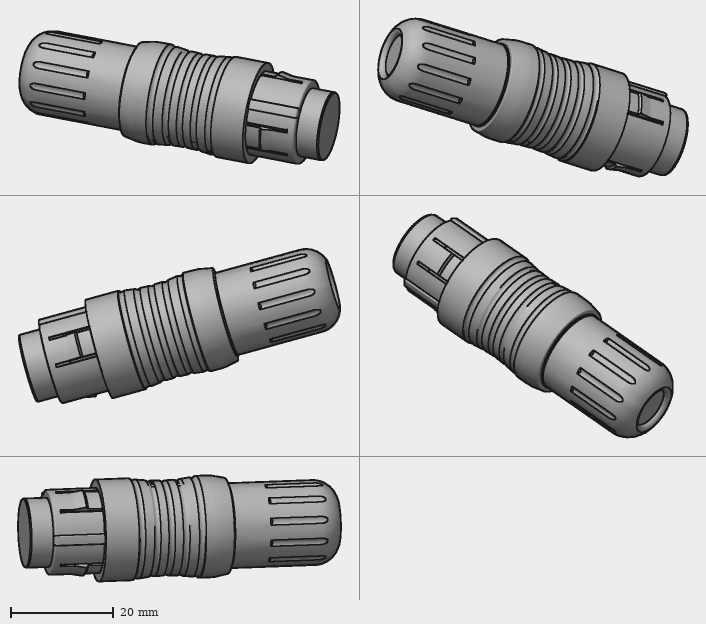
import cadquery as cq
import math

dome_length = 4.53
backshell_end = 21.9
crown_end = 25.77
sleeve_end = 47.53
plug_end = 57.42
total_length = 62.0

backshell_radius = 8.33
collar_radius = 8.45
grip_radius = 20.0 / 2
grip_front_radius = 9.4
plug_radius = 8.35
nose_radius = 13.6 / 2

mouth_rim_radius = 5.17
mouth_radius = 4.09
mouth_lip = mouth_rim_radius - mouth_radius
collar_length = 0.35

waist_center = 34.28
waist_radius = 9.33
waist_half_length = 6.2
waist_edge_radius = 9.87
groove_offsets = (-5.9, -2.83, 0.0, 2.83, 5.9)
groove_wire_radius = 1.49 / 2
groove_depth = 0.22

slot_count = 12
slot_width = 1.45
slot_depth = 0.21
slot_end = 14.47
slot_end_run = 0.4

latch_count = 3
latch_first_angle = 180.0
finger_width = 5.04
latch_slot_width = 0.56
latch_slot_depth = 0.5
latch_slot_shallow_depth = 0.35
latch_slot_step = 53.1
latch_slot_end = 55.88
barb_start = 50.35
barb_crest = 50.75
barb_end = 52.95
barb_radius = 8.78
key_angles = (0.0, 133.5)
key_width = 2.0
key_radius = 8.8
key_fillet = 0.25

plug_fillet = 0.35
groove_chamfer = 0.1
grip_front_fillet = 0.2
nose_chamfer = 0.3
nose_chamfer_drop = 0.12


def revolve_about_axis(profile):
    """Revolve a closed (x, radius) profile about the X axis."""
    return profile.revolve(360, (0, 0, 0), (1, 0, 0))


def around_axis(body, angle):
    """Turn a body built at +Y about the X axis; +90 degrees brings it to +Z."""
    return body.rotate((0, 0, 0), (1, 0, 0), angle)


def cylinder(start, end, radius):
    """Solid cylinder on the X axis between two stations."""
    return cq.Workplane("YZ").workplane(offset=start).circle(radius).extrude(end - start)


def crown_mid_point(start, end):
    """Middle of an arc that rises from start and is level (parallel to X) at end."""
    run = end[0] - start[0]
    rise = end[1] - start[1]
    radius = (run**2 + rise**2) / (2 * rise)
    half_sweep = math.asin(run / radius) / 2
    return (
        end[0] - radius * math.sin(half_sweep),
        end[1] - radius * (1 - math.cos(half_sweep)),
    )


def backshell():
    """Domed cable end with a rounded mouth, finger slots and a thin collar."""
    rim = (0, mouth_rim_radius)
    dome_top = (dome_length, backshell_radius)
    lip_mid = (
        mouth_lip * (1 - math.sin(math.pi / 4)),
        mouth_rim_radius - mouth_lip * math.cos(math.pi / 4),
    )
    collar_start = backshell_end - collar_length
    profile = (
        cq.Workplane("XY")
        .moveTo(mouth_lip, 0)
        .lineTo(mouth_lip, mouth_radius)
        .threePointArc(lip_mid, rim)
        .threePointArc(crown_mid_point(rim, dome_top), dome_top)
        .lineTo(collar_start, backshell_radius)
        .lineTo(collar_start, collar_radius)
        .lineTo(backshell_end, collar_radius)
        .lineTo(backshell_end, 0)
        .close()
    )
    body = revolve_about_axis(profile)
    for index in range(slot_count):
        body = body.cut(around_axis(finger_slot(), (index + 0.5) * 360 / slot_count))
    return body


def finger_slot():
    """Shallow round-bottomed slot at +Y, with a sloped end wall."""
    wire_radius = (slot_width**2 / 4 + slot_depth**2) / (2 * slot_depth)
    axis_height = backshell_radius - slot_depth + wire_radius
    bar = cq.Workplane("YZ").center(axis_height, 0).circle(wire_radius).extrude(slot_end)
    floor = backshell_radius - slot_depth
    top = axis_height + wire_radius
    limit = (
        cq.Workplane("XY")
        .polyline([
            (0, floor),
            (slot_end - slot_end_run, floor),
            (slot_end, backshell_radius),
            (slot_end, top),
            (0, top),
        ])
        .close()
        .extrude(slot_width, both=True)
    )
    return bar.intersect(limit)


def grip():
    """Coupling sleeve: domed front, grooved waist, plain rear."""
    front = (backshell_end, grip_front_radius)
    crown = (crown_end, grip_radius)
    waist_start = waist_center - waist_half_length
    waist_end = waist_center + waist_half_length
    profile = (
        cq.Workplane("XY")
        .moveTo(backshell_end, 0)
        .lineTo(*front)
        .threePointArc(crown_mid_point(front, crown), crown)
        .lineTo(waist_start, grip_radius)
        .lineTo(waist_start, waist_edge_radius)
        .threePointArc((waist_center, waist_radius), (waist_end, waist_edge_radius))
        .lineTo(waist_end, grip_radius)
        .lineTo(sleeve_end, grip_radius)
        .lineTo(sleeve_end, 0)
        .close()
    )
    body = revolve_about_axis(profile).faces("<X").edges().fillet(grip_front_fillet)
    for offset in groove_offsets:
        body = body.cut(waist_groove(offset))
    waist_span = cq.selectors.BoxSelector(
        (waist_start - 2 * groove_wire_radius, -grip_radius, -grip_radius),
        (waist_end + 2 * groove_wire_radius, grip_radius, grip_radius),
    )
    return body.edges(waist_span).edges("%CIRCLE").chamfer(groove_chamfer)


def waist_groove(offset):
    """Round-bottomed ring groove at a distance from the waist centre."""
    sag = (waist_edge_radius - waist_radius) * (offset / waist_half_length) ** 2
    ring_radius = waist_radius + sag - groove_depth + groove_wire_radius
    profile = cq.Workplane("XY").center(waist_center + offset, ring_radius).circle(groove_wire_radius)
    return profile.revolve(360, (0, -ring_radius, 0), (1, -ring_radius, 0))


def nose():
    """Slim front end of the plug."""
    profile = (
        cq.Workplane("XY")
        .moveTo(plug_end, 0)
        .lineTo(plug_end, nose_radius)
        .lineTo(total_length - nose_chamfer, nose_radius)
        .lineTo(total_length, nose_radius - nose_chamfer_drop)
        .lineTo(total_length, 0)
        .close()
    )
    return revolve_about_axis(profile)


def plug_barrel(radius):
    """Cylinder as long as the plug, rounded at its front rim."""
    return cylinder(sleeve_end, plug_end, radius).faces(">X").edges().fillet(plug_fillet)


def key():
    """Raised guide key at +Y, running the full length of the plug."""
    bar = cq.Workplane("XY").box(
        plug_end - sleeve_end, key_radius, key_width, centered=(False, False, True)
    )
    rounded_end = plug_barrel(key_radius)
    body = bar.translate((sleeve_end, 0, 0)).intersect(rounded_end)
    return body.edges("|X").edges(">Y").fillet(key_fillet)


def latch_slots():
    """Pair of slots at +Y that flank one latch finger."""
    slots = cq.Workplane("XY")
    for side in (-1, 1):
        slot = cq.Workplane("XY").box(
            latch_slot_end - sleeve_end,
            plug_radius,
            latch_slot_width,
            centered=(False, False, True),
        )
        z_place = side * (finger_width + latch_slot_width) / 2
        slots = slots.add(slot.translate((sleeve_end, 0, z_place)))
    deep_core = cylinder(sleeve_end, latch_slot_step, plug_radius - latch_slot_depth)
    shallow_core = cylinder(latch_slot_step, latch_slot_end, plug_radius - latch_slot_shallow_depth)
    return slots.combine().cut(deep_core).cut(shallow_core)


def latch_barb():
    """Ramped barb at +Y on a latch finger, steep toward the grip."""
    profile = (
        cq.Workplane("XY")
        .moveTo(barb_start, 0)
        .lineTo(barb_start, plug_radius)
        .lineTo(barb_crest, barb_radius)
        .lineTo(barb_end, plug_radius)
        .lineTo(barb_end, 0)
        .close()
    )
    finger = cq.Workplane("XY").box(
        barb_end - barb_start, barb_radius, finger_width, centered=(False, False, True)
    )
    return revolve_about_axis(profile).intersect(finger.translate((barb_start, 0, 0)))


def plug():
    """Plug barrel with guide keys and sprung latch fingers."""
    body = plug_barrel(plug_radius)
    for angle in key_angles:
        body = body.union(around_axis(key(), angle))
    for index in range(latch_count):
        angle = latch_first_angle + index * 360 / latch_count
        body = body.cut(around_axis(latch_slots(), angle))
        body = body.union(around_axis(latch_barb(), angle))
    return body


result = backshell().union(grip()).union(plug()).union(nose())